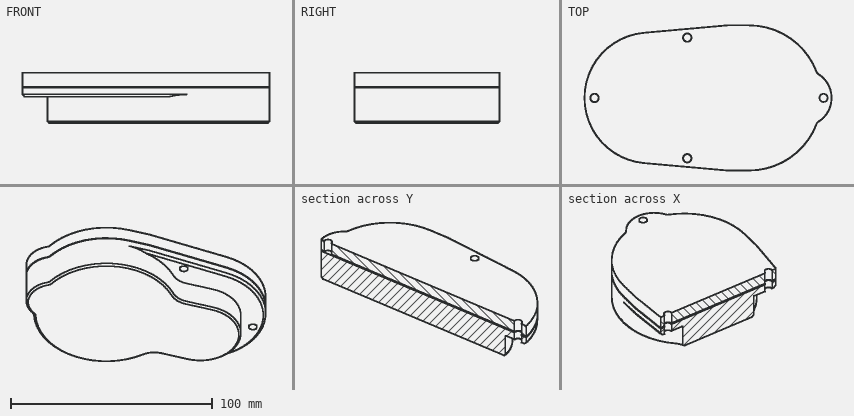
import cadquery as cq
import math

LENGTH = 122.5
BIG_RADIUS = 36.0
SMALL_RADIUS = 32.5
EAR_RADIUS = 14.0
EAR_CORNER_FILLET = 1.6
RIGHT_X = 41.0
SMALL_X = RIGHT_X - LENGTH + SMALL_RADIUS
EAR_X = RIGHT_X - EAR_RADIUS
SHOULDER_X = -10.7

NOSE_RADIUS = 20.1
NOSE_STRAIGHT_END_X = -34.9

HEIGHT = 25.0
LID_THICKNESS = 7.0
SEAM_GAP = 0.4
LID_BOTTOM = HEIGHT - LID_THICKNESS
HOUSING_HEIGHT = LID_BOTTOM - SEAM_GAP
FLANGE_BOTTOM = 13.0
EDGE_CHAMFER = 1.0
FLANGE_CHAMFER = 1.2

HOLE_DIAMETER = 4.0
END_HOLE_INSET = 5.0
EAR_HOLE_INSET = 4.0
END_HOLE_X = RIGHT_X - LENGTH + END_HOLE_INSET
EAR_HOLE_X = RIGHT_X - EAR_HOLE_INSET
SIDE_HOLE_X = -30.5
SIDE_HOLE_Y = 29.9
THROUGH_HOLES = [(END_HOLE_X, 0), (SIDE_HOLE_X, SIDE_HOLE_Y), (SIDE_HOLE_X, -SIDE_HOLE_Y)]


def flange_plate(bottom, height):
    """Plate with the small round end, sloping sides and straight sides up to the big-end axis."""
    reach = math.hypot(SHOULDER_X - SMALL_X, BIG_RADIUS)
    angle = math.atan2(BIG_RADIUS, SHOULDER_X - SMALL_X) + math.acos(SMALL_RADIUS / reach)
    tangent_x = SMALL_X + SMALL_RADIUS * math.cos(angle)
    tangent_y = SMALL_RADIUS * math.sin(angle)
    return (
        cq.Workplane("XY", origin=(0, 0, bottom))
        .moveTo(0, BIG_RADIUS)
        .lineTo(SHOULDER_X, BIG_RADIUS)
        .lineTo(tangent_x, tangent_y)
        .threePointArc((SMALL_X - SMALL_RADIUS, 0), (tangent_x, -tangent_y))
        .lineTo(SHOULDER_X, -BIG_RADIUS)
        .lineTo(0, -BIG_RADIUS)
        .close()
        .extrude(height)
    )


def big_end(bottom, height):
    """Big round end with the ear, blended at the two corners where they meet."""
    corner_x = (BIG_RADIUS**2 - EAR_RADIUS**2 + EAR_X**2) / (2 * EAR_X)
    disc = cq.Workplane("XY", origin=(0, 0, bottom)).circle(BIG_RADIUS).extrude(height)
    ear = cq.Workplane("XY", origin=(EAR_X, 0, bottom)).circle(EAR_RADIUS).extrude(height)
    corner_edges = cq.selectors.BoxSelector(
        (corner_x - EAR_CORNER_FILLET, -BIG_RADIUS, bottom),
        (corner_x + EAR_CORNER_FILLET, BIG_RADIUS, bottom + height),
    )
    return disc.union(ear).edges("|Z").edges(corner_edges).fillet(EAR_CORNER_FILLET)


def nose(height):
    """Rounded nose whose straight sides flare tangentially into the big end."""
    flare_radius = (NOSE_STRAIGHT_END_X**2 + NOSE_RADIUS**2 - BIG_RADIUS**2) / (
        2 * (BIG_RADIUS - NOSE_RADIUS)
    )
    flare_y = NOSE_RADIUS + flare_radius
    big_share = BIG_RADIUS / (BIG_RADIUS + flare_radius)
    blend_x = NOSE_STRAIGHT_END_X * big_share
    blend_y = flare_y * big_share
    mid_angle = (math.atan2(-flare_y, -NOSE_STRAIGHT_END_X) - math.pi / 2) / 2
    mid_x = NOSE_STRAIGHT_END_X + flare_radius * math.cos(mid_angle)
    mid_y = flare_y + flare_radius * math.sin(mid_angle)
    return (
        cq.Workplane("XY")
        .moveTo(blend_x, blend_y)
        .threePointArc((mid_x, mid_y), (NOSE_STRAIGHT_END_X, NOSE_RADIUS))
        .lineTo(SMALL_X, NOSE_RADIUS)
        .threePointArc((SMALL_X - NOSE_RADIUS, 0), (SMALL_X, -NOSE_RADIUS))
        .lineTo(NOSE_STRAIGHT_END_X, -NOSE_RADIUS)
        .threePointArc((mid_x, -mid_y), (blend_x, -blend_y))
        .lineTo(0, 0)
        .close()
        .extrude(height)
    )


def screw_holes(points):
    """Full-height cutters at the given hole centres."""
    return cq.Workplane("XY").pushPoints(points).circle(HOLE_DIAMETER / 2).extrude(HEIGHT)


def make_lid():
    """Cover plate with four screw holes."""
    plate = flange_plate(LID_BOTTOM, LID_THICKNESS).union(big_end(LID_BOTTOM, LID_THICKNESS))
    return plate.cut(screw_holes(THROUGH_HOLES + [(EAR_HOLE_X, 0)]))


def make_housing():
    """Body with the wide flange overhanging the nose; only three screw holes pass through it."""
    lower = big_end(0, HOUSING_HEIGHT).union(nose(HOUSING_HEIGHT))
    lower = lower.faces("<Z").chamfer(EDGE_CHAMFER)
    flange = flange_plate(FLANGE_BOTTOM, HOUSING_HEIGHT - FLANGE_BOTTOM)
    flange = flange.faces("<Z").edges("not >X").chamfer(FLANGE_CHAMFER)
    return lower.union(flange).cut(screw_holes(THROUGH_HOLES))


lid = make_lid()
housing = make_housing()

result = cq.Compound.makeCompound([housing.val(), lid.val()])